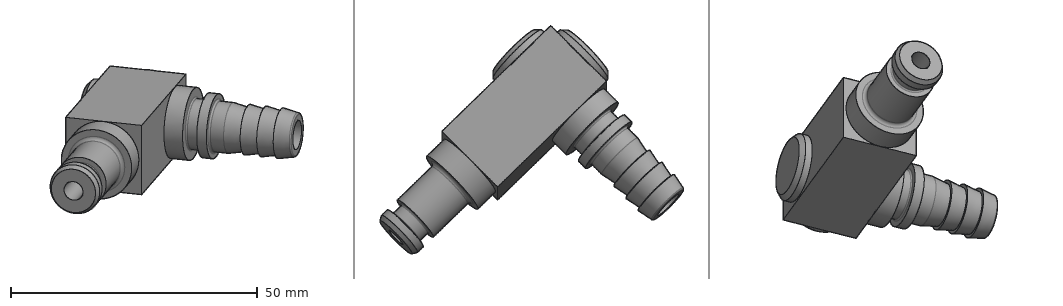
import cadquery as cq
import math

block_width = 16.1
block_back = 8.0
block_length = 31.0
block_height = 15.0
block_front = block_back - block_length

plug_radius = 7.0
plug_chamfer = 1.0
plug_reach = 10.5

collar_radius = 7.46
spigot_collar_end = 28.0
spigot_length = 44.0
spigot_radius = 5.25
spigot_root_fillet = 0.75
groove_radius = 3.9
groove_start = 38.5
groove_end = 41.35
groove_fillet = 0.3
spigot_tip_length = 1.0
spigot_tip_angle = 30.0

barb_collar_end = 12.0
barb_radius = 5.2
flange_radius = 6.65
flange_start = 14.75
flange_end = 16.8
barb_fillet = 0.3
flange_back_fillet = 0.4
barb_start = 20.0
barb_pitch = 3.5
barb_count = 4
barb_valley_radius = 4.5
barb_tip_fillet = 0.35
barb_end = barb_start + barb_count * barb_pitch

spigot_bore_radius = 2.0
barb_bore_radius = 3.0
drill_point_angle = 118.0
point_slope = math.tan(math.radians(drill_point_angle / 2))
pierce_depth = 0.02


def root_fillet(profile, along, radius, size):
    """Concave fillet from a wall at `along` down to a shaft of `radius`, travelling outwards."""
    middle = size * (1 - math.sqrt(0.5))
    return profile.lineTo(along, radius + size).threePointArc(
        (along + middle, radius + middle), (along + size, radius)
    )


def rise_fillet(profile, along, radius, size):
    """Concave fillet from a shaft of `radius` up to a wall at `along`, travelling outwards."""
    middle = size * (1 - math.sqrt(0.5))
    return profile.lineTo(along - size, radius).threePointArc(
        (along - middle, radius + middle), (along, radius + size)
    )


def turn(profile, end):
    """Close a profile back along the X axis from `end` and revolve it."""
    return profile.lineTo(end, 0).close().revolve(360, (0, 0), (1, 0))


def to_front(turned):
    """Swing a body turned along +X round to -Y."""
    return turned.rotate((0, 0, 0), (0, 0, 1), -90)


def make_block():
    """Square-edged block, running from its back face towards the spigot."""
    middle_y = (block_front + block_back) / 2
    return cq.Workplane("XY").box(block_width, block_length, block_height).translate((0, middle_y, 0))


def make_plug():
    """Chamfered plug head along +X."""
    return (
        cq.Workplane("YZ").circle(plug_radius).extrude(plug_reach)
        .faces(">X").chamfer(plug_chamfer)
    )


def make_spigot():
    """Grooved spigot with its collar, along +X."""
    tip_radius = spigot_radius - spigot_tip_length * math.tan(math.radians(spigot_tip_angle))
    profile = cq.Workplane("XY").lineTo(0, collar_radius).lineTo(spigot_collar_end, collar_radius)
    profile = root_fillet(profile, spigot_collar_end, spigot_radius, spigot_root_fillet)
    profile = profile.lineTo(groove_start, spigot_radius)
    profile = root_fillet(profile, groove_start, groove_radius, groove_fillet)
    profile = rise_fillet(profile, groove_end, groove_radius, groove_fillet)
    profile = (
        profile.lineTo(groove_end, spigot_radius)
        .lineTo(spigot_length - spigot_tip_length, spigot_radius)
        .lineTo(spigot_length, tip_radius)
    )
    return turn(profile, spigot_length)


def make_barb():
    """Flanged hose barb with its collar, along +X."""
    profile = cq.Workplane("XY").lineTo(0, collar_radius).lineTo(barb_collar_end, collar_radius)
    profile = root_fillet(profile, barb_collar_end, barb_radius, barb_fillet)
    profile = rise_fillet(profile, flange_start, barb_radius, barb_fillet)
    profile = profile.lineTo(flange_start, flange_radius).lineTo(flange_end, flange_radius)
    profile = root_fillet(profile, flange_end, barb_radius, flange_back_fillet)
    for index in range(barb_count):
        ridge = barb_start + index * barb_pitch
        profile = profile.lineTo(ridge, barb_radius).lineTo(ridge + barb_pitch, barb_valley_radius)
    return turn(profile, barb_end).faces(">X").edges().fillet(barb_tip_fillet)


def make_bore(radius, point, length):
    """Bore along +X, with the tip of its drill point at `point`, out to `length`."""
    shoulder = point + radius / point_slope
    profile = cq.Workplane("XY").moveTo(point, 0).lineTo(shoulder, radius).lineTo(length, radius)
    return turn(profile, length)


plug = make_plug()
body = (
    make_block()
    .union(plug.rotate((0, 0, 0), (0, 0, 1), 90))
    .union(plug.rotate((0, 0, 0), (0, 0, 1), 180))
    .union(to_front(make_spigot()))
    .union(make_barb())
)
spigot_bore = to_front(make_bore(spigot_bore_radius, -barb_bore_radius - pierce_depth, spigot_length))
barb_bore = make_bore(barb_bore_radius, -barb_bore_radius / point_slope, barb_end)
result = body.cut(spigot_bore).cut(barb_bore)